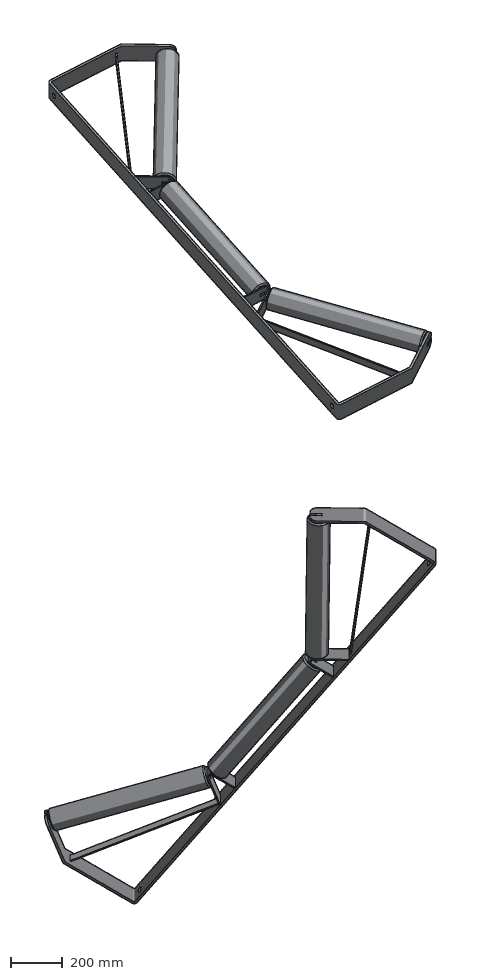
import cadquery as cq
import math

frame_length = 2000.0
bar_width = 88.0
bar_thickness = 10.0
base_bend_radius = 15.0
arm_bend_radius = 20.0
tip_corner_radius = 30.0
arm_tip_above_axis = 35.0

trough_angle = 35.0
wing_tilt = 0.55
roller_diameter = 90.0
roller_length = 640.0
roller_edge_chamfer = 5.0
bracket_axis_z = -7.0
shaft_diameter = 25.0
shaft_flat_width = 15.0
center_roller_y = 102.0
wing_roller_x = 622.0
wing_roller_y = 295.0

bracket_thickness = 5.0
bracket_width = 70.0
bracket_top_y = 128.0

brace_width = 35.0
brace_thickness = 5.0
brace_foot_x = 435.0
brace_top_y = 315.0

mount_slot_inset = 45.0
mount_slot_width = 18.0
mount_slot_height = 25.0

outer_end_gap = 5.0
inner_end_gap = 2.0

half_roller = roller_length / 2
arm_inner = half_roller + outer_end_gap
arm_outer = arm_inner + bar_thickness
leg_inner = half_roller + inner_end_gap
leg_outer = leg_inner + bracket_thickness

upright_outer_x = frame_length / 2
upright_inner_x = upright_outer_x - bar_thickness

sin_trough = math.sin(math.radians(trough_angle))
cos_trough = math.cos(math.radians(trough_angle))
shaft_radius = shaft_diameter / 2


def wing_point(along, above):
    """Point given along the right-hand wing roller's axis and square to it."""
    x = wing_roller_x + along * cos_trough - above * sin_trough
    y = wing_roller_y + along * sin_trough + above * cos_trough
    return (x, y)


def wing_point_at_x(along, x):
    """Point at `x` on the line square to the wing roller's axis at `along`."""
    above = (wing_roller_x + along * cos_trough - x) / sin_trough
    return wing_point(along, above)


def wing_point_at_y(along, y):
    """Point at `y` on the line square to the wing roller's axis at `along`."""
    above = (y - wing_roller_y - along * sin_trough) / cos_trough
    return wing_point(along, above)


def plate(outline, width, middle_z=0.0):
    """Solid with an XY outline, `width` wide in Z about `middle_z`."""
    bottom = cq.Workplane("XY").workplane(offset=middle_z - width / 2)
    return bottom.polyline(outline).close().extrude(width)


def left_copy(right_body):
    return right_body.mirror("YZ")


def make_roller(inner_shaft, outer_shaft):
    """Roller along X about the origin, with a flatted shaft reaching out at both ends."""
    shell = (
        cq.Workplane("YZ", origin=(-half_roller, 0, 0))
        .circle(roller_diameter / 2)
        .extrude(roller_length)
        .edges()
        .chamfer(roller_edge_chamfer)
    )
    shaft = (
        cq.Workplane("YZ", origin=(-inner_shaft, 0, 0))
        .circle(shaft_radius)
        .extrude(inner_shaft + outer_shaft)
    )
    flats = cq.Workplane("XY").box(2 * frame_length, shaft_diameter, shaft_flat_width)
    return shell.union(shaft.intersect(flats))


def place_on_wing(body):
    """Moves a body from the X axis to the tilted axis of the right-hand wing roller."""
    middle_z = bracket_axis_z + half_roller * math.sin(math.radians(wing_tilt))
    tilted = body.rotate((0, 0, 0), (0, 1, 0), -wing_tilt)
    turned = tilted.rotate((0, 0, 0), (0, 0, 1), trough_angle)
    return turned.translate((wing_roller_x, wing_roller_y, middle_z))


def make_brace():
    """Right-hand brace, from the top of the base to the inner face of the upright."""
    run = upright_inner_x - brace_foot_x
    rise = brace_top_y - bar_thickness
    slant = math.hypot(run, rise)
    outline = [
        (brace_foot_x, bar_thickness),
        (brace_foot_x + brace_thickness * slant / rise, bar_thickness),
        (upright_inner_x, brace_top_y - brace_thickness * slant / run),
        (upright_inner_x, brace_top_y),
    ]
    return plate(outline, brace_width)


def bend_frame():
    """The bare frame: base, two uprights and two arms, with rounded bends."""
    outer_bend = wing_point_at_x(arm_outer, upright_outer_x)
    inner_bend = wing_point_at_x(arm_inner, upright_inner_x)
    right_half = [
        (upright_outer_x, 0),
        outer_bend,
        wing_point(arm_outer, arm_tip_above_axis),
        wing_point(arm_inner, arm_tip_above_axis),
        inner_bend,
        (upright_inner_x, bar_thickness),
    ]
    left_half = [(-x, y) for x, y in reversed(right_half)]
    frame = plate(right_half + left_half, bar_width)
    bends = [
        ((upright_outer_x, 0), base_bend_radius),
        ((upright_inner_x, bar_thickness), base_bend_radius - bar_thickness),
        (outer_bend, arm_bend_radius),
        (inner_bend, arm_bend_radius - bar_thickness),
    ]
    for (x, y), radius in bends:
        for side in (1, -1):
            edge = cq.selectors.NearestToPointSelector((side * x, y, 0))
            frame = frame.edges("|Z").edges(edge).fillet(radius)
    return frame


def round_arm_tips(frame):
    tip_x, tip_y = wing_point((arm_inner + arm_outer) / 2, arm_tip_above_axis)
    for side in (1, -1):
        for z in (bar_width / 2, -bar_width / 2):
            edge = cq.selectors.NearestToPointSelector((side * tip_x, tip_y, z))
            frame = frame.edges(edge).fillet(tip_corner_radius)
    return frame


def arm_shaft_slot():
    """Slot for the shaft of the right-hand wing roller, open at the tip of the arm."""
    slot = cq.Workplane("XY").box(
        2 * bar_thickness + outer_end_gap, 2 * shaft_diameter + arm_tip_above_axis, shaft_flat_width,
        centered=(False, False, True))
    return place_on_wing(slot.translate((half_roller, -shaft_radius, 0)))


def mount_slots():
    slot_x = upright_outer_x - mount_slot_inset
    return (
        cq.Workplane("XZ")
        .pushPoints([(slot_x, 0), (-slot_x, 0)])
        .slot2D(mount_slot_height, mount_slot_width, 90)
        .extrude(-bar_thickness)
    )


def make_frame():
    frame = round_arm_tips(bend_frame())
    slot = arm_shaft_slot()
    return frame.cut(slot).cut(left_copy(slot)).cut(mount_slots())


def make_bracket(center_roller, wing_roller):
    """Right-hand bracket: an upright leg, a short bridge and a leg square to the wing roller."""
    under_bridge_y = bracket_top_y - bracket_thickness
    outline = [
        (leg_inner, bar_thickness),
        (leg_inner, bracket_top_y),
        wing_point_at_y(-leg_inner, bracket_top_y),
        wing_point_at_y(-leg_inner, bar_thickness),
        wing_point_at_y(-leg_outer, bar_thickness),
        wing_point_at_y(-leg_outer, under_bridge_y),
        (leg_outer, under_bridge_y),
        (leg_outer, bar_thickness),
    ]
    bracket = plate(outline, bracket_width, bracket_axis_z)
    return bracket.cut(center_roller).cut(wing_roller)


center_roller = make_roller(leg_outer, leg_outer).translate((0, center_roller_y, bracket_axis_z))
wing_roller = place_on_wing(make_roller(leg_outer, arm_outer))
frame = make_frame()
bracket = make_bracket(center_roller, wing_roller)
brace = make_brace()

solids = [frame.val(), center_roller.val()]
for right_body in (wing_roller, bracket, brace):
    solids.append(right_body.val())
    solids.append(left_copy(right_body).val())

result = cq.Compound.makeCompound(solids)